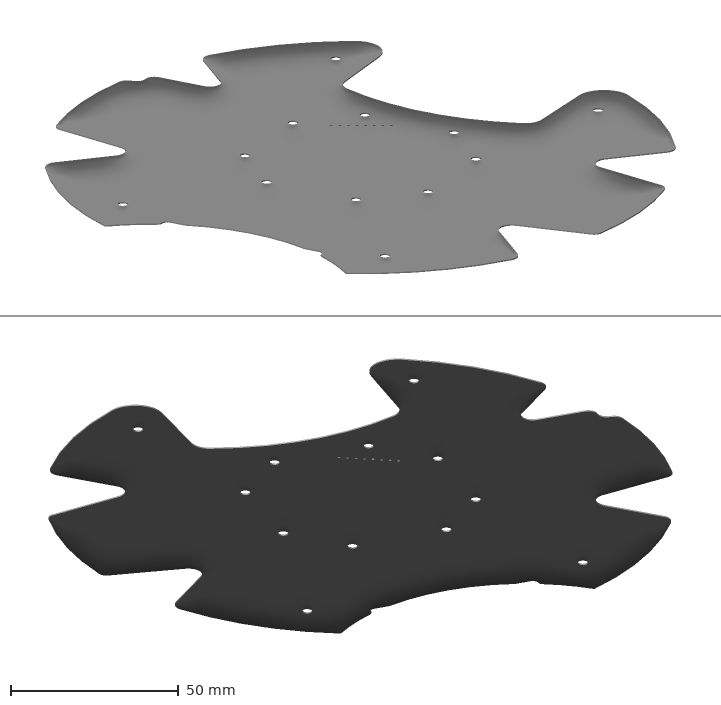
import cadquery as cq
import math

RADIUS = 94.3
THICKNESS = 0.41
REACH = 113.1

LEG_EDGE_OFFSET = 31.3
ARM_EDGE_X = 75.5
ARM_EDGE_Y = 24.9
ARM_EDGE_SLOPE = math.tan(math.radians(10.6))
NOTCH_ROUND = 4.1
ARM_TIP_Y = 22.2
LEG_TIP_Y = 37.7
LEG_CORNER_ROUND = 3.8
ARM_CORNER_ROUND = 2.8

SHOULDER_Y = 28.7
SHOULDER_END_X = 86.3
SHOULDER_NOTCH_ROUND = 3.4
SHOULDER_CORNER_ROUND = 2.8
SHOULDER_FOOT_ROUND = 2.8

TOP_FLOOR_Y = 41.3
TOP_FLOOR_RADIUS = 80.1
TOP_WALL_LOW = (33.2, 50.9)
TOP_WALL_HIGH = (33.7, 75.5)
TOP_FLOOR_ROUND = 5.7
TOP_HORN_X = 37.7
TOP_HORN_Y = 75.5
TOP_CORNER_ROUND = 8.5

BOTTOM_APEX_Y = -69.5
BOTTOM_RADIUS = 61.5
RELIEF_Y = -73.0
RELIEF_HALF_WIDTH = 27.0
RELIEF_CORNER_ROUND = 1.9
RELIEF_FOOT_ROUND = 1.3

HOLE_DIAMETER = 3.0
BOLT_NEAR = 15.0
BOLT_FAR = 31.0
LEG_HOLE_X = 44.3
LEG_HOLE_Y = 67.1
PIN_DIAMETER = 0.9
PIN_COUNT = 8
PIN_ROW_START = (-19.6, 18.3)
PIN_ROW_END = (-4.0, 27.0)

SIGNS = (-1, 1)


def prism(points):
    return cq.Workplane("XY").polyline(points).close().extrude(THICKNESS)


def cylinder(x, y, radius):
    return cq.Workplane("XY").center(x, y).circle(radius).extrude(THICKNESS)


def round_at(body, point, radius):
    """Round the upright edge of the body nearest to a plan point."""
    nearest = cq.selectors.NearestToPointSelector((*point, THICKNESS / 2))
    return body.edges("|Z").edges(nearest).fillet(radius)


def round_within(body, x_limit, y_low, y_high, radius):
    """Round all upright edges with |x| below a limit and y in a range."""
    box = cq.selectors.BoxSelector((-x_limit, y_low, -THICKNESS), (x_limit, y_high, THICKNESS))
    return body.edges("|Z").edges(box).fillet(radius)


def arm_edge_y(x):
    """Height of the sloping upper arm edge above the X axis."""
    return ARM_EDGE_Y - ARM_EDGE_SLOPE * (x - ARM_EDGE_X)


def notch():
    """Plain notch, in the quadrant with +X and +Y."""
    inner_x = (LEG_EDGE_OFFSET + arm_edge_y(0)) / (1 + ARM_EDGE_SLOPE)
    inner = (inner_x, inner_x - LEG_EDGE_OFFSET)
    points = [inner, (REACH, arm_edge_y(REACH)), (REACH, REACH - LEG_EDGE_OFFSET)]
    return round_at(prism(points), inner, NOTCH_ROUND)


def shoulder_notch():
    """Notch bounded by the arm's shoulder, in the quadrant with +X and +Y."""
    inner = (LEG_EDGE_OFFSET + SHOULDER_Y, SHOULDER_Y)
    corner = (SHOULDER_END_X, SHOULDER_Y)
    foot = (SHOULDER_END_X, arm_edge_y(SHOULDER_END_X))
    points = [inner, corner, foot, (REACH, arm_edge_y(REACH)), (REACH, REACH - LEG_EDGE_OFFSET)]
    body = round_at(prism(points), inner, SHOULDER_NOTCH_ROUND)
    body = round_at(body, corner, SHOULDER_CORNER_ROUND)
    return round_at(body, foot, SHOULDER_FOOT_ROUND)


def top_bay():
    """Cutter between the top horns, with rounded floor corners."""
    low_x, low_y = TOP_WALL_LOW
    high_x, high_y = TOP_WALL_HIGH
    splay = (high_x - low_x) / (high_y - low_y)

    def wall_x(y):
        return low_x + splay * (y - low_y)

    base_x = wall_x(0)
    rim_x = wall_x(REACH)
    channel = prism([(-base_x, 0), (base_x, 0), (rim_x, REACH), (-rim_x, REACH)])
    floor = cylinder(0, TOP_FLOOR_Y + TOP_FLOOR_RADIUS, TOP_FLOOR_RADIUS)
    return round_within(channel.intersect(floor), RADIUS, 0, RADIUS, TOP_FLOOR_ROUND)


def bottom_bay():
    """Arc cutter joined with the relief, its small steps rounded."""
    arc = cylinder(0, BOTTOM_APEX_Y - BOTTOM_RADIUS, BOTTOM_RADIUS)
    corners = [(side * RELIEF_HALF_WIDTH, RELIEF_Y) for side in SIGNS]
    relief = prism([*corners, (RELIEF_HALF_WIDTH, -RADIUS), (-RELIEF_HALF_WIDTH, -RADIUS)])
    arc_drop = BOTTOM_RADIUS - math.sqrt(BOTTOM_RADIUS**2 - RELIEF_HALF_WIDTH**2)
    bay = arc.union(relief)
    for side in SIGNS:
        corner_x = side * RELIEF_HALF_WIDTH
        bay = round_at(bay, (corner_x, BOTTOM_APEX_Y - arc_drop), RELIEF_FOOT_ROUND)
        bay = round_at(bay, (corner_x, RELIEF_Y), RELIEF_CORNER_ROUND)
    return bay


def screw_hole_points():
    pairs = [(BOLT_NEAR, BOLT_FAR), (BOLT_FAR, BOLT_NEAR), (LEG_HOLE_X, LEG_HOLE_Y)]
    return [(sx * x, sy * y) for x, y in pairs for sx in SIGNS for sy in SIGNS]


def pin_hole_points():
    (x0, y0), (x1, y1) = PIN_ROW_START, PIN_ROW_END
    steps = [i / (PIN_COUNT - 1) for i in range(PIN_COUNT)]
    return [(x0 + t * (x1 - x0), y0 + t * (y1 - y0)) for t in steps]


def drill(body, points, diameter):
    return body.cut(cq.Workplane("XY").pushPoints(points).circle(diameter / 2).extrude(THICKNESS))


plate = cylinder(0, 0, RADIUS)
plate = plate.cut(notch())
plate = plate.cut(notch().mirror("XZ"))
plate = plate.cut(notch().mirror("XZ").mirror("YZ"))
plate = plate.cut(shoulder_notch().mirror("YZ"))

plate = round_within(plate, RADIUS, -ARM_TIP_Y, ARM_TIP_Y, ARM_CORNER_ROUND)
for low, high in [(LEG_TIP_Y, RADIUS), (-RADIUS, -LEG_TIP_Y)]:
    plate = round_within(plate, RADIUS, low, high, LEG_CORNER_ROUND)

plate = plate.cut(top_bay())
plate = round_within(plate, TOP_HORN_X, TOP_HORN_Y, RADIUS, TOP_CORNER_ROUND)
plate = plate.cut(bottom_bay())

plate = drill(plate, screw_hole_points(), HOLE_DIAMETER)
result = drill(plate, pin_hole_points(), PIN_DIAMETER)